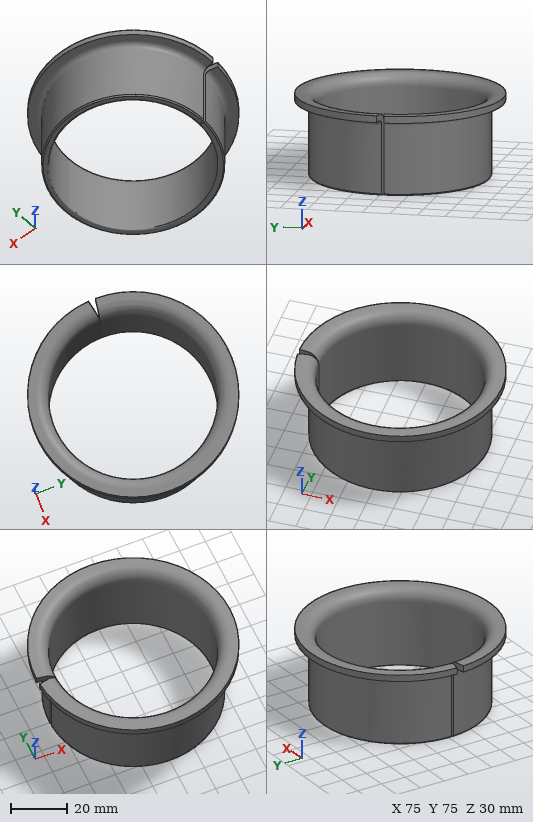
import cadquery as cq
import math

height = 30.0
flange_diameter = 75.0
bore_diameter = 60.0
wall = 2.5
outer_bend_radius = 2.0
lead_chamfer = 0.5
bore_edge_radius = 0.5

split_direction = 182.0
split_half_angle = 10.0
split_bore_gap = 0.02

flange_radius = flange_diameter / 2
bore_radius = bore_diameter / 2
sleeve_radius = bore_radius + wall
inner_bend_radius = outer_bend_radius + wall
bend_center_radius = sleeve_radius + outer_bend_radius
bend_center_height = height - inner_bend_radius


def make_bushing():
    """Revolve the wall section: sleeve with eased bottom edges, concentric bend and flange."""
    diagonal = math.sqrt(0.5)
    inner_mid = (
        bend_center_radius - inner_bend_radius * diagonal,
        bend_center_height + inner_bend_radius * diagonal,
    )
    outer_mid = (
        bend_center_radius - outer_bend_radius * diagonal,
        bend_center_height + outer_bend_radius * diagonal,
    )
    bore_edge_mid = (
        bore_radius + bore_edge_radius * (1 - diagonal),
        bore_edge_radius * (1 - diagonal),
    )
    section = (
        cq.Workplane("XZ")
        .moveTo(bore_radius + bore_edge_radius, 0)
        .threePointArc(bore_edge_mid, (bore_radius, bore_edge_radius))
        .lineTo(bore_radius, bend_center_height)
        .threePointArc(inner_mid, (bend_center_radius, height))
        .lineTo(flange_radius, height)
        .lineTo(flange_radius, height - wall)
        .lineTo(bend_center_radius, height - wall)
        .threePointArc(outer_mid, (sleeve_radius, bend_center_height))
        .lineTo(sleeve_radius, lead_chamfer)
        .lineTo(sleeve_radius - lead_chamfer, 0)
        .close()
    )
    return section.revolve(360, (0, 0, 0), (0, 1, 0))


def make_split_wedge():
    """Wedge that leaves a narrow gap at the bore and widens outwards."""
    slope = math.tan(math.radians(split_half_angle))
    apex_radius = bore_radius - split_bore_gap / 2 / slope
    wedge_radius = flange_radius + wall
    half_width = (wedge_radius - apex_radius) * slope
    return (
        cq.Workplane("XY")
        .moveTo(apex_radius, 0)
        .lineTo(wedge_radius, -half_width)
        .lineTo(wedge_radius, half_width)
        .close()
        .extrude(height)
        .rotate((0, 0, 0), (0, 0, 1), split_direction)
    )


result = make_bushing().cut(make_split_wedge())